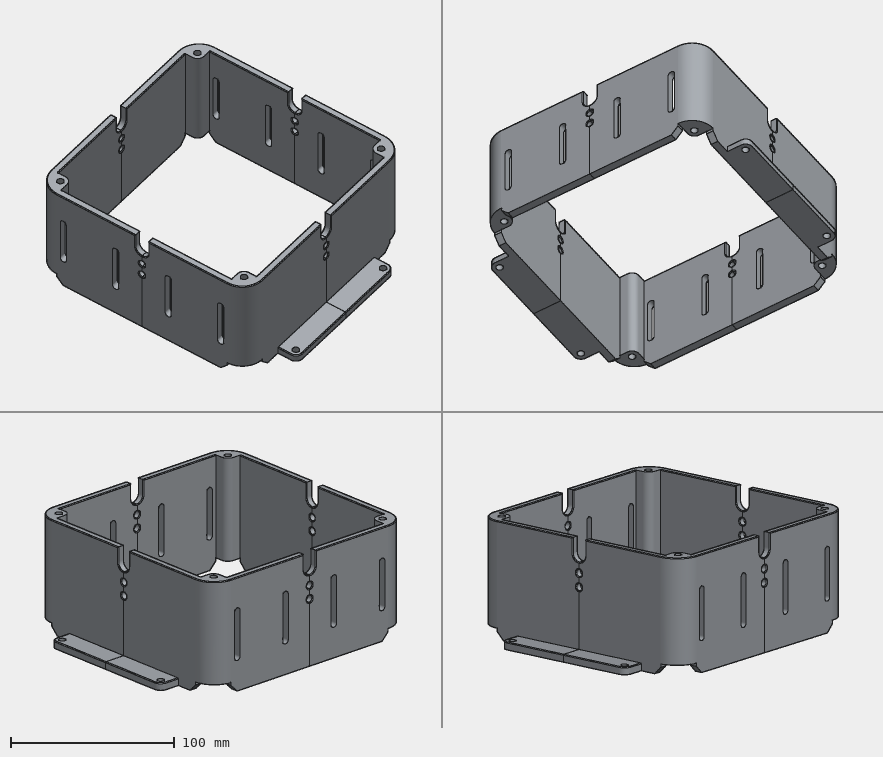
import cadquery as cq

frame_width = 161.0
height = 75.0
wall = 5.0
corner_radius = 15.5
edge_chamfer = 0.5
half_width = frame_width / 2
inner_half = half_width - wall
corner_start = half_width - corner_radius

screw_hole_diameter = 4.5
boss_hole_inset = 10.5
boss_fillet = 5.0

relief_height = 7.0
relief_chamfer = 5.0

overall_length = 191.0
flange_thickness = 5.0
flange_half_width = 49.5
flange_fillet = 5.0
flange_hole_inset = 5.0
half_length = overall_length / 2

slot_width = 4.5
slot_length = 34.5
slot_offsets = (20.0, 60.0)

notch_radius = 5.0
notch_depth_to_centre = 10.0
cable_hole_diameter = 4.5
cable_hole_depths = (21.8, 30.8)

SIDES = (1, -1)


def block(x_range, y_range, z_range):
    """Box between the given limits on each axis."""
    corner = (x_range[0], y_range[0], z_range[0])
    size = (x_range[1] - x_range[0], y_range[1] - y_range[0], z_range[1] - z_range[0])
    return cq.Workplane("XY").box(*size, centered=False).translate(corner)


def swap_xy(shape):
    """Mirror a shape in the plane x = y, from the Y wall to the X wall."""
    return shape.rotate((0, 0, 0), (1, 1, 0), 180).mirror("XY")


def rounded_block():
    """Outer form of the whole frame, with its top edge chamfered."""
    body = cq.Workplane("XY").rect(frame_width, frame_width).extrude(height)
    body = body.edges("|Z").fillet(corner_radius)
    return body.faces(">Z").edges().chamfer(edge_chamfer)


def cavity():
    """Square opening that widens at the top to chamfer the inner edge."""
    opening_width = 2 * inner_half
    opening = cq.Workplane("XY").rect(opening_width, opening_width).extrude(height)
    rim_width = opening_width + 2 * edge_chamfer
    rim = cq.Workplane("XY", origin=(0, 0, height)).rect(rim_width, rim_width)
    return opening.union(rim.extrude(-edge_chamfer, taper=45))


def corner_boss():
    """Full-height post filling the inside of the corner."""
    span = (corner_start, half_width)
    return block(span, span, (0, height)).edges("|Z and <X and <Y").fillet(boss_fillet)


def corner_relief():
    """Space below the corner, with a chamfer on the end of the Y wall."""
    return (
        cq.Workplane("XZ", origin=(0, half_width, 0))
        .moveTo(half_width, 0)
        .lineTo(corner_start - relief_chamfer, 0)
        .lineTo(corner_start, relief_chamfer)
        .lineTo(corner_start, relief_height)
        .lineTo(half_width, relief_height)
        .close()
        .extrude(corner_radius)
    )


def flange():
    """Mounting flange on the +X wall, rounded at both ends and chamfered on top."""
    plate = block(
        (inner_half, half_length), (-flange_half_width, flange_half_width), (0, flange_thickness)
    )
    plate = plate.edges("|Z and >X").fillet(flange_fillet)
    plate = plate.faces(">Z").edges("not(<X)").chamfer(edge_chamfer)
    return plate


def vertical_hole(x, y):
    """Screw hole through the full height at a given place."""
    return cq.Workplane("XY").center(x, y).circle(screw_hole_diameter / 2).extrude(height)


def slots():
    """Upright slots through the Y wall."""
    return (
        cq.Workplane("XZ", origin=(0, half_width, 0))
        .pushPoints([(x, height / 2) for x in slot_offsets])
        .slot2D(slot_length, slot_width, 90)
        .extrude(wall)
    )


def notch_outline(plane, radius):
    """U shape open at the top of the wall."""
    centre_z = height - notch_depth_to_centre
    return (
        plane.moveTo(-radius, height)
        .lineTo(-radius, centre_z)
        .threePointArc((0, centre_z - radius), (radius, centre_z))
        .lineTo(radius, height)
        .close()
    )


def cable_hole_outline(plane, radius):
    """Two circles, one below the other, under the notch."""
    return plane.pushPoints([(0, height - depth) for depth in cable_hole_depths]).circle(radius)


def chamfered_opening(outline, radius):
    """Opening through the Y wall, chamfered where it meets both wall faces."""
    outer_face = cq.Workplane("XZ", origin=(0, half_width, 0))
    inner_face = cq.Workplane("XZ", origin=(0, inner_half, 0))
    rim_radius = radius + edge_chamfer
    opening = outline(outer_face, radius).extrude(wall)
    opening = opening.union(outline(outer_face, rim_radius).extrude(edge_chamfer, taper=45))
    return opening.union(outline(inner_face, rim_radius).extrude(-edge_chamfer, taper=45))


def make_quarter():
    """Frame quarter around the +X +Y corner."""
    outer = rounded_block()
    body = outer.cut(cavity()).union(corner_boss().intersect(outer))
    body = body.union(flange())

    boss_hole = half_width - boss_hole_inset
    body = body.cut(vertical_hole(boss_hole, boss_hole))
    flange_hole_x = half_length - flange_hole_inset
    body = body.cut(vertical_hole(flange_hole_x, flange_half_width - flange_hole_inset))

    relief = corner_relief()
    notch = chamfered_opening(notch_outline, notch_radius)
    cable_holes = chamfered_opening(cable_hole_outline, cable_hole_diameter / 2)
    for cutter in (relief, notch, cable_holes):
        body = body.cut(cutter).cut(swap_xy(cutter))
    body = body.cut(slots())

    quadrant = block((0, half_length), (0, half_width), (0, height))
    return body.intersect(quadrant)


quarter = make_quarter()
quarters = []
for x_side in SIDES:
    for y_side in SIDES:
        copy = quarter
        if x_side < 0:
            copy = copy.mirror("YZ")
        if y_side < 0:
            copy = copy.mirror("XZ")
        quarters.append(copy.val())

result = cq.Compound.makeCompound(quarters)